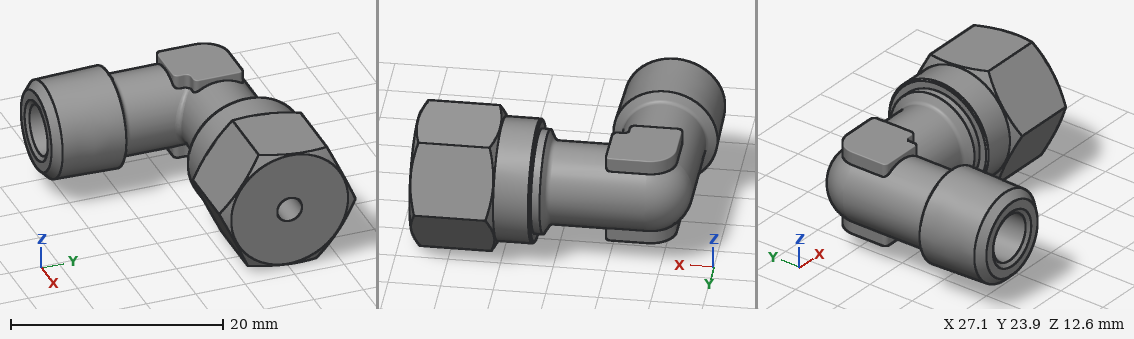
import cadquery as cq
import math


tube_radius = 3.99
flange_radius = 5.0
flange_slope = math.radians(60)
flange_blend_radius = 0.5
inner_corner_radius = 0.5

male_length = 17.0
male_root = 9.81
male_root_radius = 4.95
male_tip_radius = 4.8
male_chamfer = 0.8

nut_end = 22.15
nut_across_flats = 12.0
nut_turn = -5.2
nut_hex_start = 14.18
nut_collar_start = 10.7
nut_collar_radius = 5.9
nut_collar_chamfer = 0.15
nut_chamfer_slope = math.radians(30)
flange_start = 9.9

bore_radius = 2.5
bore_mouth_radius = 2.98
bore_mouth_depth = 0.3
bore_end = 0.9
drill_half_angle = math.radians(59)
cross_bore_radius = 1.25

pad_height = 4.5
pad_reach = 2.5
pad_corner_radius = 0.5
pad_edge_radius = 0.1


def revolve_about_x(profile):
    return profile.close().revolve(360, (0, 0, 0), (1, 0, 0))


def revolved(points):
    """Revolve (distance along axis, radius) points about the X axis."""
    return revolve_about_x(cq.Workplane("XY").polyline(points))


def aim_at_male_end(solid):
    """Turn a solid built along +X so that it lies along -Y."""
    return solid.rotate((0, 0, 0), (0, 0, 1), -90)


def stepped_arm(shoulder, shoulder_radius, outer_points):
    """Tube along +X that widens through a blended cone to its shoulder, then follows outer_points."""
    cone_length = (shoulder_radius - tube_radius) / math.tan(flange_slope)
    cone_start = shoulder - cone_length
    tangent = flange_blend_radius * math.tan(flange_slope / 2)
    blend_start = cone_start - tangent
    blend_end = (
        cone_start + tangent * math.cos(flange_slope),
        tube_radius + tangent * math.sin(flange_slope),
    )
    blend_middle = (
        blend_start + flange_blend_radius * math.sin(flange_slope / 2),
        tube_radius + flange_blend_radius * (1 - math.cos(flange_slope / 2)),
    )
    profile = (
        cq.Workplane("XY")
        .lineTo(0, tube_radius)
        .lineTo(blend_start, tube_radius)
        .threePointArc(blend_middle, blend_end)
        .lineTo(shoulder, shoulder_radius)
    )
    for point in outer_points:
        profile = profile.lineTo(*point)
    return revolve_about_x(profile.lineTo(outer_points[-1][0], 0))


def male_arm():
    outer_points = [
        (male_length - male_chamfer, male_tip_radius),
        (male_length, male_tip_radius - male_chamfer),
    ]
    return aim_at_male_end(stepped_arm(male_root, male_root_radius, outer_points))


def nut_arm():
    return stepped_arm(flange_start, flange_radius, [(nut_collar_start, flange_radius)])


def nut():
    collar = (
        cq.Workplane("YZ", origin=(nut_collar_start, 0, 0))
        .circle(nut_collar_radius)
        .extrude(nut_hex_start - nut_collar_start)
        .faces("<X")
        .chamfer(nut_collar_chamfer)
    )
    corner_radius = nut_across_flats / 2 / math.cos(math.pi / 6)
    chamfer_length = (corner_radius - nut_collar_radius) * math.tan(nut_chamfer_slope)
    hexagon = (
        cq.Workplane("YZ", origin=(nut_hex_start, 0, 0))
        .polygon(6, 2 * corner_radius)
        .extrude(nut_end - nut_hex_start)
        .rotate((0, 0, 0), (1, 0, 0), nut_turn)
    )
    chamfer_envelope = revolved([
        (nut_hex_start, 0),
        (nut_hex_start, nut_collar_radius),
        (nut_hex_start + chamfer_length, corner_radius),
        (nut_end - chamfer_length, corner_radius),
        (nut_end, nut_collar_radius),
        (nut_end, 0),
    ])
    return collar.union(hexagon.intersect(chamfer_envelope))


def wrench_pads():
    """L-shaped pads, rounded around the elbow and notched at the inside corner."""
    arc_middle = pad_reach * math.sqrt(0.5)
    pads = (
        cq.Workplane("XY", origin=(0, 0, -pad_height))
        .moveTo(-pad_reach, 0)
        .threePointArc((-arc_middle, arc_middle), (0, pad_reach))
        .lineTo(tube_radius, pad_reach)
        .lineTo(tube_radius, -pad_reach)
        .lineTo(pad_reach, -pad_reach)
        .lineTo(pad_reach, -tube_radius)
        .lineTo(-pad_reach, -tube_radius)
        .close()
        .extrude(2 * pad_height)
    )
    notch_corner = cq.selectors.NearestToPointSelector((pad_reach, -pad_reach, 0))
    pads = pads.edges(">X or <Y").edges("|Z").fillet(pad_corner_radius)
    pads = pads.edges(notch_corner).fillet(pad_corner_radius)
    return pads.faces("|Z").edges().fillet(pad_edge_radius)


def male_bore():
    drill_tip = bore_end + bore_radius / math.tan(drill_half_angle)
    return aim_at_male_end(revolved([
        (-drill_tip, 0),
        (-bore_end, bore_radius),
        (male_length - bore_mouth_depth, bore_radius),
        (male_length, bore_mouth_radius),
        (male_length, 0),
    ]))


def cross_bore():
    return cq.Workplane("YZ").circle(cross_bore_radius).extrude(nut_end)


tubes = cq.Workplane("XY").sphere(tube_radius).union(male_arm()).union(nut_arm())
body = tubes.union(wrench_pads())
inner_corner = cq.selectors.NearestToPointSelector((tube_radius, -tube_radius, 0))
body = body.edges(inner_corner).fillet(inner_corner_radius)
result = body.union(nut()).cut(male_bore()).cut(cross_bore())